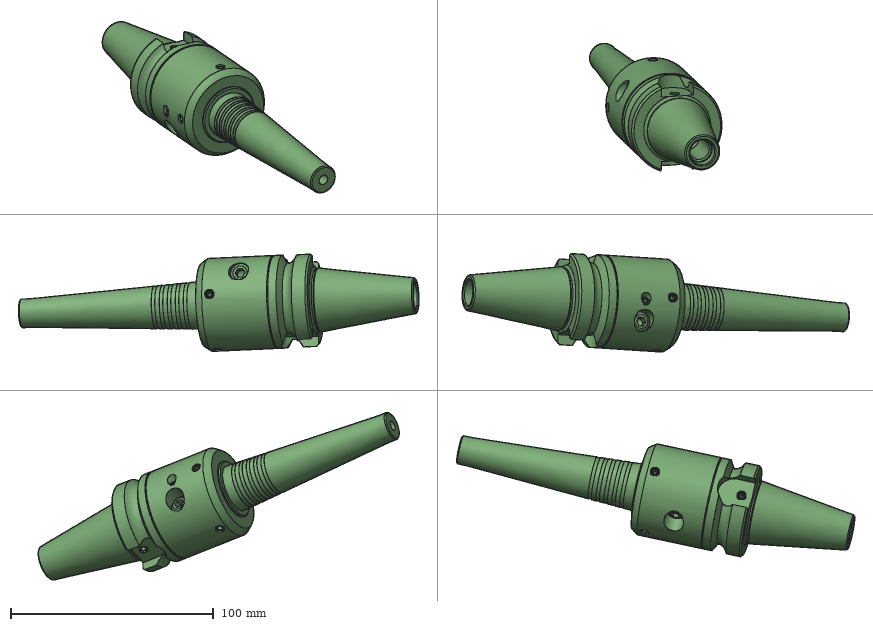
import cadquery as cq
import math

length = 198.4
eps = 0.2

gauge_x = 48.2
gauge_r = 15.9
taper_slope = 7 / 48
small_end_r = gauge_r - taper_slope * gauge_x
end_chamfer = 0.5

undercut_r = 15.3
undercut_x = 48.8
flare_r = 17.0
flare_length = 0.8

body_r = 23.0
flange_x = 50.4
flange_end_x = 58.1
flange_chamfer = 1.0
groove_r = 19.0
groove_start_x = 60.5
groove_fillet = 5.0
groove_end_x = 63.5

body_x = 65.9
ring_groove_x = 70.0
ring_groove_width = 0.5
ring_groove_depth = 0.2
body_end_x = 103.2
shoulder_mid_x = 105.5
shoulder_mid_r = 21.5
shoulder_r = 20.5
shoulder_x = 106.7
collar_r = 14.7
collar_x = 108.0
collar_chamfer = 0.5

neck_x = 109.1
neck_d = 23.6
neck_r = neck_d / 2
tip_x = 193.5
tip_r = 7.1
tip_chamfer = 0.5
nose_slope = (neck_r - tip_r) / (tip_x - neck_x)
nose_groove_start_x = 112.9
nose_groove_span = 16.3
nose_groove_count = 5
nose_groove_pitch = nose_groove_span / (nose_groove_count - 1)
nose_groove_width = 1.8
nose_groove_depth = 0.2

mouth_r = 7.0
pilot_r = 6.3
pilot_depth = 6.0
thread_r = 5.2
thread_depth = 27.8
thread_lead_in = 0.8
drill_slope = math.tan(math.radians(31))
through_d = 5.0
through_r = through_d / 2
mouth_chamfer = mouth_r - pilot_r

slot_width = 16.3
slot_floor_z = 16.5
slot_end_x = 67.5

clearance = 4.0
plug_d = 4.5
plug_recess = 0.5
plug_end_d = 3.4
plug_bevel = 0.4
plug_socket_d = 2.4
plug_socket_depth = 2.4
body_plug_x = 99.4
slot_plug_x = 55.5

clamp_x = 85.3
clamp_offset_z = 11.7
clamp_d = 10.0
clamp_face_y = 15.9
clamp_face_d = 7.0
clamp_bevel = 1.2
clamp_socket_af = 4.2
clamp_socket_depth = 4.0

port_z = -1.2
port_d = 5.0
port_depth = 2.0
port_tilt = 30.0


def revolve(points):
    return cq.Workplane("XY").polyline(points).close().revolve(360, (0, 0, 0), (1, 0, 0))


def nose_r(x):
    return neck_r - nose_slope * (x - neck_x)


def nose_groove_points():
    points = []
    for i in range(nose_groove_count):
        start = nose_groove_start_x + i * nose_groove_pitch
        end = start + nose_groove_width
        points += [
            (start, nose_r(start)),
            (start, nose_r(start) - nose_groove_depth),
            (end, nose_r(end) - nose_groove_depth),
            (end, nose_r(end)),
        ]
    return points


def holder():
    ring_end_x = ring_groove_x + ring_groove_width
    ring_floor_r = body_r - ring_groove_depth
    taper = [
        (0, 0),
        (0, small_end_r - end_chamfer),
        (end_chamfer, small_end_r + taper_slope * end_chamfer),
        (gauge_x, gauge_r),
        (undercut_x, undercut_r),
        (flange_x - flare_length, undercut_r),
        (flange_x, flare_r),
    ]
    flange = [
        (flange_x, body_r - flange_chamfer),
        (flange_x + flange_chamfer, body_r),
        (flange_end_x, body_r),
        (groove_start_x, groove_r),
        (groove_end_x, groove_r),
    ]
    body = [
        (body_x, body_r),
        (ring_groove_x, body_r),
        (ring_groove_x, ring_floor_r),
        (ring_end_x, ring_floor_r),
        (ring_end_x, body_r),
        (body_end_x, body_r),
        (shoulder_mid_x, shoulder_mid_r),
        (shoulder_x, shoulder_r),
        (shoulder_x, collar_r),
        (collar_x - collar_chamfer, collar_r),
        (collar_x, collar_r - collar_chamfer),
    ]
    nose = [(collar_x, neck_r), (neck_x, neck_r)] + nose_groove_points() + [
        (tip_x, tip_r),
        (length - tip_chamfer, tip_r),
        (length, tip_r - tip_chamfer),
        (length, 0),
    ]
    turned = revolve(taper + flange + body + nose)
    groove_corner = cq.selectors.BoxSelector(
        (groove_start_x - eps, -body_r, -body_r),
        (groove_start_x + eps, body_r, body_r),
    )
    return turned.edges(groove_corner).fillet(groove_fillet)


def bore():
    return revolve([
        (-eps, 0),
        (-eps, mouth_r + eps),
        (mouth_chamfer, pilot_r),
        (pilot_depth, pilot_r),
        (pilot_depth, thread_r + thread_lead_in),
        (pilot_depth + thread_lead_in, thread_r),
        (thread_depth, thread_r),
        (thread_depth + (thread_r - through_r) * drill_slope, through_r),
        (length + eps, through_r),
        (length + eps, 0),
    ])


def drive_slot():
    height = body_r
    end_r = slot_width / 2
    run = slot_end_x - end_r - gauge_x
    floor = cq.Workplane("XY").workplane(offset=slot_floor_z)
    straight = floor.center(gauge_x + run / 2, 0).rect(run, slot_width).extrude(height)
    round_end = floor.center(slot_end_x - end_r, 0).circle(end_r).extrude(height)
    return straight.union(round_end)


def plug(diameter, recess):
    """Cut for a socket screw sunk along -Z: bore, bevelled screw end and socket with a drill point."""
    socket_r = plug_socket_d / 2
    socket_z = -recess - plug_socket_depth
    profile = [
        (0, clearance),
        (diameter / 2, clearance),
        (diameter / 2, -recess - plug_bevel),
        (plug_end_d / 2, -recess),
        (socket_r, -recess),
        (socket_r, socket_z),
        (0, socket_z - socket_r * drill_slope),
    ]
    return cq.Workplane("XZ").polyline(profile).close().revolve(360, (0, 0, 0), (0, 1, 0))


def clamp_screw():
    """Cut for the screw on the -Y side: bore, bevelled screw face and hexagon socket."""
    face = cq.Workplane("XZ", origin=(clamp_x, 0, -clamp_offset_z)).workplane(offset=clamp_face_y)
    pocket = face.workplane(offset=-clamp_bevel).circle(clamp_d / 2).extrude(body_r)
    screw_end = (
        face.workplane(offset=-clamp_bevel).circle(clamp_d / 2)
        .workplane(offset=clamp_bevel).circle(clamp_face_d / 2).loft()
    )
    hexagon_d = clamp_socket_af / math.cos(math.pi / 6)
    socket = face.polygon(6, hexagon_d).extrude(-clamp_socket_depth)
    socket_r = clamp_socket_af / 2
    drill_point = cq.Solid.makeCone(
        socket_r, 0, socket_r * drill_slope,
        pnt=cq.Vector(clamp_x, clamp_socket_depth - clamp_face_y, -clamp_offset_z),
        dir=cq.Vector(0, 1, 0),
    )
    return pocket.cut(screw_end).union(socket).union(drill_point)


def side_port():
    hole = plug(port_d, port_depth).rotate((0, 0, 0), (1, 0, 0), 90 - port_tilt)
    return hole.translate((clamp_x, -body_r, port_z))


def around(shape, count):
    """Copies of a shape spaced evenly about the X axis."""
    return [shape.rotate((0, 0, 0), (1, 0, 0), i * 360 / count) for i in range(count)]


cuts = [bore(), side_port()]
cuts += around(drive_slot(), 2)
cuts += around(plug(plug_d, plug_recess).translate((slot_plug_x, 0, slot_floor_z)), 2)
cuts += around(plug(plug_d, plug_recess).translate((body_plug_x, 0, body_r)), 4)
cuts += around(clamp_screw(), 2)

result = holder()
for cut in cuts:
    result = result.cut(cut)